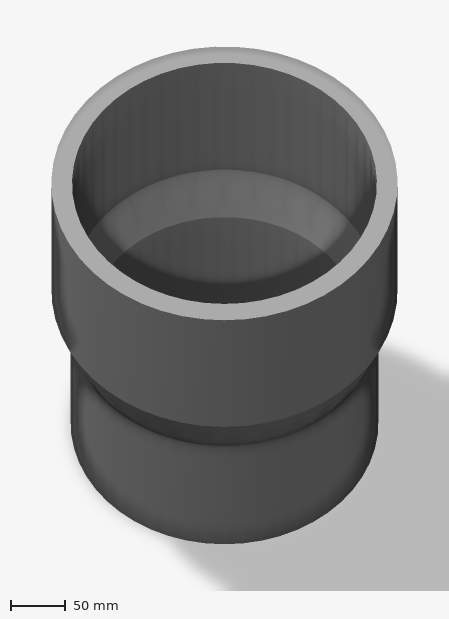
import cadquery as cq

height = 355.0
taper_bottom = 146.0
taper_top = 196.5

lower_outer_radius = 280.0 / 2
lower_bore_radius = 246.5 / 2
upper_outer_radius = 315.0 / 2
upper_bore_radius = 277.3 / 2

wall_section = (
    cq.Workplane("XZ")
    .moveTo(lower_outer_radius, 0)
    .lineTo(lower_outer_radius, taper_bottom)
    .lineTo(upper_outer_radius, taper_top)
    .lineTo(upper_outer_radius, height)
    .lineTo(upper_bore_radius, height)
    .lineTo(upper_bore_radius, taper_top)
    .lineTo(lower_bore_radius, taper_bottom)
    .lineTo(lower_bore_radius, 0)
    .close()
)

result = wall_section.revolve(360, (0, 0, 0), (0, 1, 0))